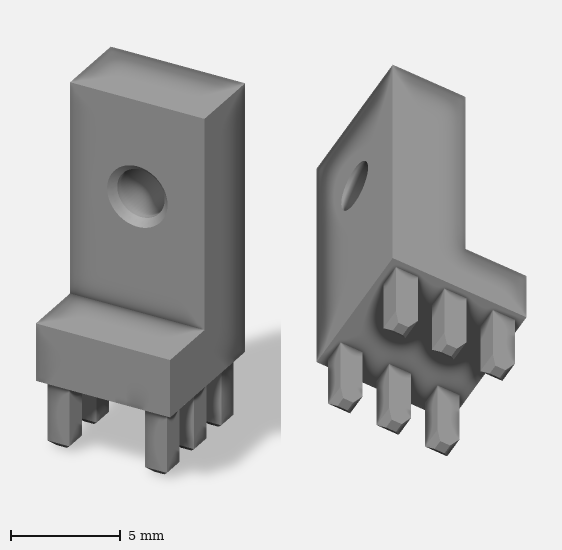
import cadquery as cq

width = 7.0
depth = 7.0
total_height = 17.5
pin_length = 3.5
body_height = total_height - pin_length
foot_height = 3.0
plate_thickness = 3.8

hole_diameter = 2.47
countersink_diameter = 3.15
countersink_depth = (countersink_diameter - hole_diameter) / 2
hole_height = 9.0

pin_size = 1.15
pin_pitch = 2.54
tip_chamfer = 0.32

front_y = -depth / 2
back_y = depth / 2
plate_front_y = back_y - plate_thickness


def make_body():
    """L-shaped block with its underside at Z = 0."""
    profile = [
        (front_y, 0),
        (back_y, 0),
        (back_y, body_height),
        (plate_front_y, body_height),
        (plate_front_y, foot_height),
        (front_y, foot_height),
    ]
    return cq.Workplane("YZ").polyline(profile).close().extrude(width / 2, both=True)


def make_hole_cutter():
    """Through hole, widened by a cone at the front face of the plate."""
    front_face = cq.Workplane("XZ", origin=(0, plate_front_y, hole_height))
    bore = front_face.circle(hole_diameter / 2).extrude(-plate_thickness)
    cone = (
        front_face.circle(countersink_diameter / 2)
        .workplane(offset=-countersink_depth)
        .circle(hole_diameter / 2)
        .loft()
    )
    return bore.union(cone)


def make_pin(x, y):
    """Square pin hanging below the foot, chamfered around its tip."""
    pin = cq.Workplane("XY", origin=(x, y, 0)).rect(pin_size, pin_size).extrude(-pin_length)
    return pin.faces("<Z").chamfer(tip_chamfer)


result = make_body().cut(make_hole_cutter())

for column in (-1, 1):
    for row in (-1, 0, 1):
        result = result.union(make_pin(column * pin_pitch, row * pin_pitch))